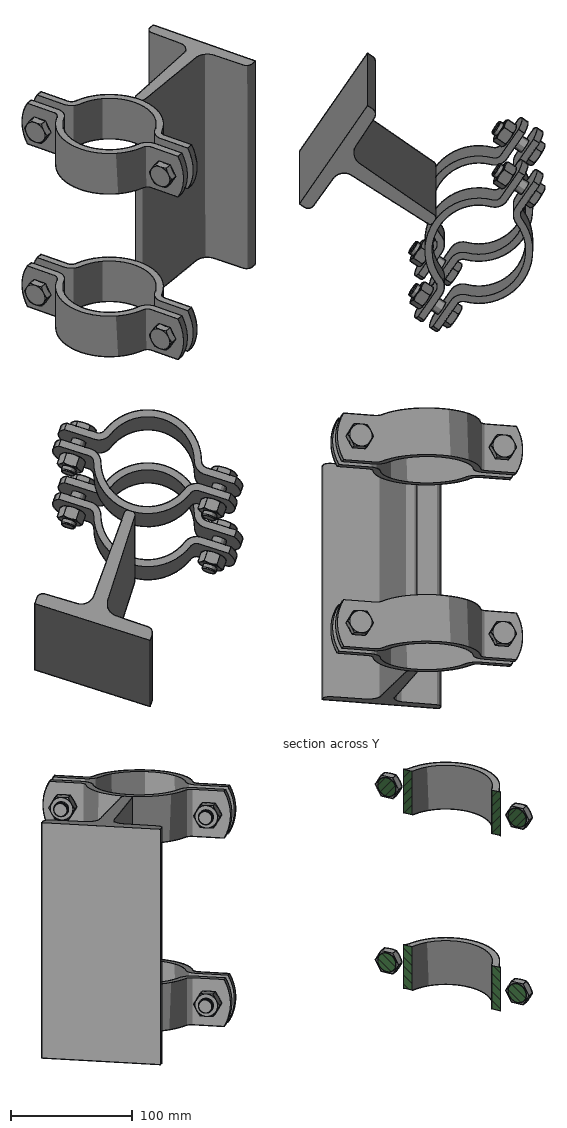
import cadquery as cq
import math

rail_length = 200.0
section_size = 100.0
section_thickness = 11.0
taper = 0.02
root_radius = section_thickness
flange_tip_radius = section_thickness / 2
web_tip_radius = 3.0

strip_width = 40.0
strip_thickness = 6.0
clamp_gap = 8.8
ring_radius = 44.5
bend_radius = 6.0
clamp_length = 158.0
lug_end_radius = 40.0

bolt_offset = 61.0
bolt_diameter = 12.0
bolt_tip_diameter = 11.0
bolt_tip_length = 1.0
bolt_protrusion = 14.2
hex_flats = 19.0
hex_chamfer_angle = 30.0
head_height = 7.5
washer_face_diameter = 17.2
washer_face_height = 0.5
nut_height = 10.0

lug_inner_y = clamp_gap / 2
lug_outer_y = lug_inner_y + strip_thickness
hex_corners = hex_flats / math.cos(math.radians(30))


def make_rail():
    """Tee section with its web tip resting on the clamp rings."""
    web_tip_y = ring_radius
    back_y = web_tip_y + section_size
    half_width = section_size / 2
    half_web = section_thickness / 2
    half_web_tip = half_web - taper * section_size / 2
    tip_thickness = section_thickness - taper * section_size / 4

    root_x = half_web_tip + taper * (section_size - tip_thickness - taper * half_width)
    root_x /= 1 - taper ** 2
    root_y = back_y - tip_thickness - taper * (half_width - root_x)

    half = (
        cq.Workplane("XY")
        .moveTo(0, back_y)
        .lineTo(half_width, back_y)
        .lineTo(half_width, back_y - tip_thickness)
        .lineTo(root_x, root_y)
        .lineTo(half_web_tip, web_tip_y)
        .lineTo(0, web_tip_y)
        .close()
        .extrude(rail_length)
    )

    def round_corner(body, x, y, radius):
        corner = cq.selectors.NearestToPointSelector((x, y, rail_length / 2))
        return body.edges(corner).fillet(radius)

    half = round_corner(half, root_x, root_y, root_radius)
    half = round_corner(half, half_width, back_y - tip_thickness, flange_tip_radius)
    half = round_corner(half, half_web_tip, web_tip_y, web_tip_radius)
    return half.union(half.mirror("YZ"))


def make_strip():
    """Rear clamp half: a ring arc bent outward into two flat lugs."""
    inner_radius = ring_radius - strip_thickness
    wide_bend = bend_radius + strip_thickness
    bend_y = lug_outer_y + bend_radius
    bend_x = math.sqrt((ring_radius + bend_radius) ** 2 - bend_y ** 2)
    bend_angle = math.atan2(bend_y, bend_x)
    turn_angle = (math.pi + bend_angle + 1.5 * math.pi) / 2

    def on_ring(radius):
        return radius * math.cos(bend_angle), radius * math.sin(bend_angle)

    def on_bend(radius):
        return bend_x + radius * math.cos(turn_angle), bend_y + radius * math.sin(turn_angle)

    def mirrored(point):
        return -point[0], point[1]

    half_length = clamp_length / 2
    profile = (
        cq.Workplane("XY")
        .moveTo(half_length, lug_outer_y)
        .lineTo(bend_x, lug_outer_y)
        .threePointArc(on_bend(bend_radius), on_ring(ring_radius))
        .threePointArc((0, ring_radius), mirrored(on_ring(ring_radius)))
        .threePointArc(mirrored(on_bend(bend_radius)), (-bend_x, lug_outer_y))
        .lineTo(-half_length, lug_outer_y)
        .lineTo(-half_length, lug_inner_y)
        .lineTo(-bend_x, lug_inner_y)
        .threePointArc(mirrored(on_bend(wide_bend)), mirrored(on_ring(inner_radius)))
        .threePointArc((0, inner_radius), on_ring(inner_radius))
        .threePointArc(on_bend(wide_bend), (bend_x, lug_inner_y))
        .lineTo(half_length, lug_inner_y)
        .close()
        .extrude(strip_width / 2, both=True)
    )

    end_sagitta = lug_end_radius - math.sqrt(lug_end_radius ** 2 - (strip_width / 2) ** 2)
    corner_x = half_length - end_sagitta
    corner_z = strip_width / 2
    blank = (
        cq.Workplane("XZ")
        .moveTo(-corner_x, corner_z)
        .lineTo(corner_x, corner_z)
        .threePointArc((half_length, 0), (corner_x, -corner_z))
        .lineTo(-corner_x, -corner_z)
        .threePointArc((-half_length, 0), (-corner_x, corner_z))
        .close()
        .extrude(-ring_radius)
    )
    return profile.intersect(blank)


def make_hex(height, chamfered_faces):
    """Hexagon rising along +Y from the XZ plane, its corners turned to a cone at the chosen ends."""
    cone_width = (hex_corners - hex_flats) / 2
    cone_height = cone_width * math.tan(math.radians(hex_chamfer_angle))
    envelope = cq.Workplane("XZ").circle(hex_corners / 2).extrude(-height)
    for face in chamfered_faces:
        envelope = envelope.faces(face).edges().chamfer(cone_height, cone_width)
    return cq.Workplane("XZ").polygon(6, hex_corners).extrude(-height).intersect(envelope)


def make_bolt():
    """Bolt along Y with its head on the front lug and its nut on the rear lug."""
    tip_step = (bolt_diameter - bolt_tip_diameter) / 2
    shank = (
        cq.Workplane("XZ", origin=(0, -lug_outer_y, 0))
        .circle(bolt_diameter / 2)
        .extrude(-(2 * lug_outer_y + bolt_protrusion))
        .faces(">Y")
        .edges()
        .chamfer(bolt_tip_length, tip_step)
    )
    washer_face = cq.Workplane("XZ").circle(washer_face_diameter / 2).extrude(-washer_face_height)
    hexagon = make_hex(head_height - washer_face_height, [">Y"])
    head = washer_face.union(hexagon.translate((0, washer_face_height, 0)))
    front_head = head.mirror("XZ").translate((0, -lug_outer_y, 0))
    nut = make_hex(nut_height, [">Y", "<Y"]).translate((0, lug_outer_y, 0))
    return shank.union(front_head).union(nut)


def make_clamp():
    """Both strips and their two bolts, joined as one solid centred on the origin."""
    strip = make_strip()
    clamp = strip
    for x in (-bolt_offset, bolt_offset):
        clamp = clamp.union(make_bolt().translate((x, 0, 0)))
    return clamp.union(strip.mirror("XZ"))


rail = make_rail()

clamp = make_clamp()
clamps = [
    clamp.translate((0, 0, z))
    for z in (strip_width / 2, rail_length - strip_width / 2)
]

result = cq.Compound.makeCompound([rail.val(), *(body.val() for body in clamps)])